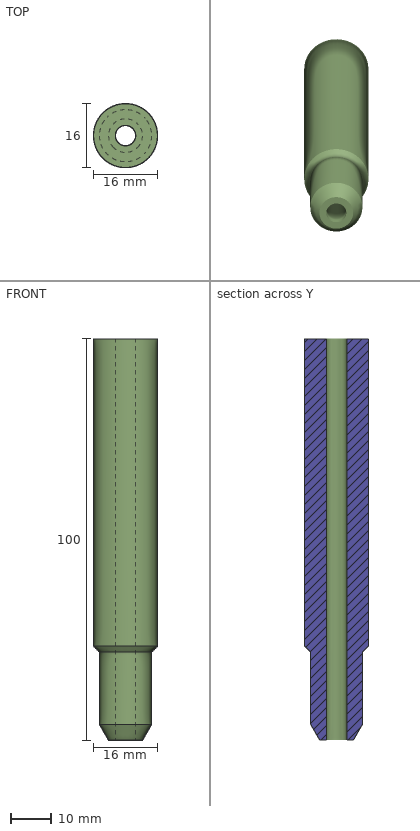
import cadquery as cq

total_length = 100.0
body_diameter = 16.0
pin_diameter = 13.0
bore_diameter = 5.0
tip_diameter = 8.4
tip_height = 4.0
pin_length = 22.0

chamfer_height = (body_diameter - pin_diameter) / 2
body_radius = body_diameter / 2
pin_radius = pin_diameter / 2

half_profile = [
    (0, 0),
    (tip_diameter / 2, 0),
    (pin_radius, tip_height),
    (pin_radius, pin_length),
    (body_radius, pin_length + chamfer_height),
    (body_radius, total_length),
    (0, total_length),
]
stepped_pin = cq.Workplane("XZ").polyline(half_profile).close().revolve(360, (0, 0), (0, 1))

bore = cq.Workplane("XY").circle(bore_diameter / 2).extrude(total_length)

result = stepped_pin.cut(bore)